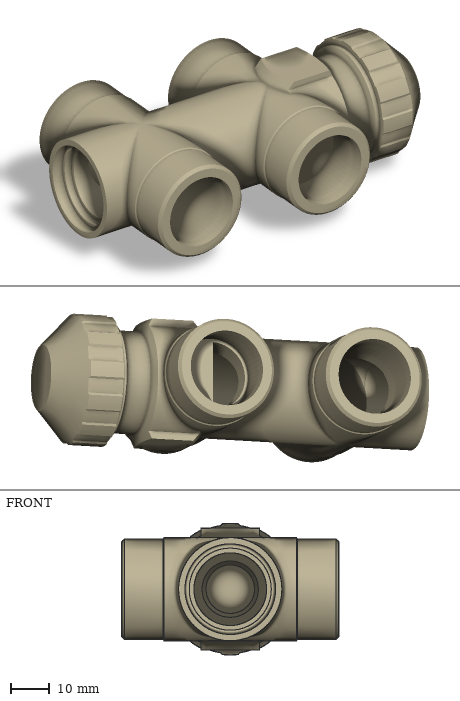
import cadquery as cq
import math

total_length = 100.8

pipe_radius = 13.3
main_bore_radius = 9.8
spigot_steps = [(11.7, 3.0), (10.6, 5.0), (9.4, 10.6)]

lower_branch_y = 19.4
upper_branch_y = 59.5
branch_reach = 28.0
branch_end_radius = 13.0
branch_end_length = 10.7
branch_tip_chamfer = 0.8
branch_step_chamfer = 0.3
branch_bore_radius = main_bore_radius
blind_bore_depth = 12.7
half_port_radius = 9.0

seat_offset = 0.3
seat_y = upper_branch_y - seat_offset
seat_mouth_radius = 7.3
stem_radius = 6.2
seat_depth = seat_mouth_radius - stem_radius

collar_radius = 15.7
flat_width = 15.1
flat_corner_radius = math.hypot(collar_radius, flat_width / 2)
collar_bottom_y = 57.9
neck_start_y = 75.4
collar_top_slope = 0.53
neck_end_y = 81.6

head_radius = 15.1
head_chamfer_height = 0.8
head_chamfer_width = head_radius - pipe_radius
cap_start_y = 83.6
cap_cone_height = 8.1
cap_cone_width = 8.4
cap_shoulder_y = total_length - cap_cone_height
cap_diameter = 34.0
rib_radius = cap_diameter / 2
groove_depth = 0.4
rib_count = 12
rib_top_half_angle = 6.8
rib_base_half_angle = 8.5
rib_pitch = 360 / rib_count


def rod(radius, start_y, end_y):
    """Cylinder around the main axis."""
    return cq.Workplane("XZ", origin=(0, start_y, 0)).circle(radius).extrude(start_y - end_y)


def cross_rod(radius, start_x, end_x, y):
    """Cylinder parallel to X, crossing the main axis at the given Y."""
    return cq.Workplane("YZ", origin=(start_x, y, 0)).circle(radius).extrude(end_x - start_x)


def revolved(outline):
    """Turn an outline of (radius, y) points around the main axis."""
    return cq.Workplane("XY").polyline(outline).close().revolve(360, (0, 0, 0), (0, 1, 0))


def branch_pair(y):
    """Two opposite branches with stepped-down, chamfered ends."""
    step_x = branch_reach - branch_end_length
    ends = cross_rod(branch_end_radius, -branch_reach, branch_reach, y)
    ends = ends.faces("<X or >X").chamfer(branch_tip_chamfer)
    middle = cross_rod(pipe_radius, -step_x, step_x, y)
    middle = middle.faces("<X or >X").chamfer(branch_step_chamfer)
    return ends.union(middle)


def wrench_collar():
    """Round collar with cone ends, raised to a flat pad above and below."""
    rise = flat_corner_radius - pipe_radius
    blank = revolved([
        (0, collar_bottom_y),
        (pipe_radius, collar_bottom_y),
        (flat_corner_radius, collar_bottom_y + rise),
        (flat_corner_radius, neck_start_y - collar_top_slope * rise),
        (pipe_radius, neck_start_y),
        (0, neck_start_y),
    ])
    middle_y = (collar_bottom_y + neck_start_y) / 2
    pads = cq.Workplane("XY").box(flat_width, neck_start_y - collar_bottom_y, 2 * collar_radius)
    pads = pads.translate((0, middle_y, 0))
    return blank.intersect(rod(collar_radius, collar_bottom_y, neck_start_y).union(pads))


def cut_main_passage(body):
    """Stepped spigot, the wider main bore beyond it, conical seat and the bore that holds the stem."""
    for radius, depth in spigot_steps:
        body = body.cut(rod(radius, 0, depth))
    body = body.cut(rod(main_bore_radius, spigot_steps[-1][1], seat_y))
    seat = revolved([
        (0, seat_y),
        (seat_mouth_radius, seat_y),
        (stem_radius, seat_y + seat_depth),
        (0, seat_y + seat_depth),
    ])
    return body.cut(seat).cut(rod(stem_radius, seat_y, neck_end_y))


def cut_branch_bores(body):
    """Through bore in the lower pair, blind bores in the upper pair, one opened by a half-round port."""
    body = body.cut(cross_rod(branch_bore_radius, -branch_reach, branch_reach, lower_branch_y))
    floor_x = branch_reach - blind_bore_depth
    for side in (-1, 1):
        body = body.cut(
            cross_rod(branch_bore_radius, side * branch_reach, side * floor_x, upper_branch_y)
        )
    port = cross_rod(half_port_radius, -floor_x, 0, upper_branch_y)
    return body.cut(port.intersect(rod(branch_reach, 0, seat_y)))


def make_housing():
    """Pipe with two crossing branch pairs, wrench collar, neck and inner passages."""
    body = rod(pipe_radius, 0, neck_end_y)
    for y in (lower_branch_y, upper_branch_y):
        body = body.union(branch_pair(y))
    body = body.union(wrench_collar())
    return cut_branch_bores(cut_main_passage(body)).solids()


def make_insert():
    """Valve insert: a chamfered round head on the neck and a stem that closes the seat."""
    return revolved([
        (0, seat_y + seat_depth),
        (stem_radius, seat_y + seat_depth),
        (stem_radius, neck_end_y),
        (head_radius - head_chamfer_width, neck_end_y),
        (head_radius, neck_end_y + head_chamfer_height),
        (head_radius, cap_shoulder_y),
        (0, cap_shoulder_y),
    ])


def grip_groove(middle_angle):
    """Shallow groove between two ribs, with sloping sides."""

    def point(radius, angle):
        turn = math.radians(middle_angle + angle)
        return (radius * math.sin(turn), radius * math.cos(turn))

    floor_radius = rib_radius - groove_depth
    mouth_half_angle = rib_pitch / 2 - rib_top_half_angle
    floor_half_angle = rib_pitch / 2 - rib_base_half_angle
    return (
        cq.Workplane("XZ", origin=(0, cap_start_y, 0))
        .moveTo(*point(floor_radius, -floor_half_angle))
        .threePointArc(point(floor_radius, 0), point(floor_radius, floor_half_angle))
        .lineTo(*point(rib_radius, mouth_half_angle))
        .threePointArc(point(rib_radius + groove_depth, 0), point(rib_radius, -mouth_half_angle))
        .close()
        .extrude(cap_start_y - total_length)
    )


def make_cap():
    """Ribbed cap with a cone end and a recess that fits over the insert's head."""
    cap = revolved([
        (head_radius, cap_start_y),
        (rib_radius, cap_start_y),
        (rib_radius, cap_shoulder_y),
        (rib_radius - cap_cone_width, total_length),
        (0, total_length),
        (0, cap_shoulder_y),
        (head_radius, cap_shoulder_y),
    ])
    for index in range(rib_count):
        cap = cap.cut(grip_groove((index + 0.5) * rib_pitch))
    return cap.solids()


housing = make_housing()
insert = make_insert()
cap = make_cap()

result = cq.Compound.makeCompound([housing.val(), insert.val(), cap.val()])